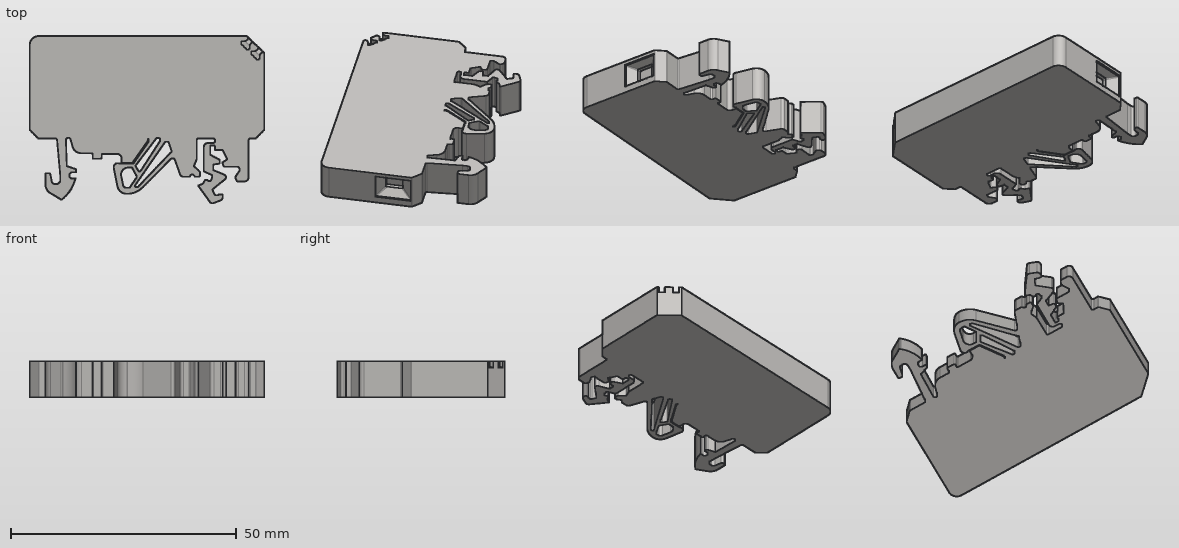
import cadquery as cq
import math


length = 52.0
thickness = 8.0
body_height = 22.7
side_round = 4.1 / 2
bottom_chamfer = 1.9
corner_softening = 0.15
top_chamfer_x = 3.95
top_chamfer_y = 3.8

hook_x = 6.05
rib_x = 14.0
loop_x = 18.4
middle_foot_x = 31.9
latch_x = 38.55
heel_right = 48.5

hook_depth = 13.55
hook_top = -7.65
hook_valley = -10.05
hook_outer = hook_x - 2.55
notch_bottom = -8.85
notch_top = -7.5
hook_back_round = 8.3
hook_slot_left = hook_x + 2.05

recess = -3.3
rib_width = 2.05
rib_depth = 1.2
step_recess = -3.45
step_x = 20.35

slit_roof = -5.4
slit_gap = 0.15
slit_floor = slit_roof - slit_gap
slit_bend = 22.8
slit_end = 26.2
loop_bottom = -12.25
eye_top = -6.45
eye_bottom = -10.85
leg_slot_bottom = -10.7
leg_slot_top = -0.75
spring_slot_top = 0.1

middle_foot_bottom = -8.5
middle_foot_right = middle_foot_x + 5.15
middle_foot_dent = 0.45

arm_root = -0.95
arm_right = latch_x + 1.5
arm_root_right = latch_x + 2.5
latch_bottom = -14.5
latch_lip = -12.4
heel_bottom = -9.5
heel_step = -6.3
heel_roof = -2.55

entry_depth = 3.2
funnel_start = 0.4
funnel_end = 2.3
entry_y = 2.2
entry_z = 1.55
entry_width = 7.95
entry_height = 5.55
inner_y = 4.35
inner_z = 3.0
inner_width = 3.9
inner_height = 3.35
entry_corner = 0.1
inner_corner = 0.25

marker_x = 47.85
marker_y = 20.7
marker_pitch = 3.1
marker_depth = 1.15
marker_length = 2.35
marker_width = 1.05
front_corner = 0.44
back_corner = 0.25
throat_width = 1.15
throat_distance = 0.45
mouth_width = 2.0
neck_length = 1.35
neck_fall = 0.4


def round_outline(corners):
    """Closed wire through corners (x, y, radius), each rounded by a tangent arc."""
    spans = []
    for i, (x, y, radius) in enumerate(corners):
        corner = cq.Vector(x, y)
        before = (cq.Vector(*corners[i - 1][:2]) - corner).normalized()
        after = (cq.Vector(*corners[(i + 1) % len(corners)][:2]) - corner).normalized()
        half_angle = before.getAngle(after) / 2
        reach = radius / math.tan(half_angle)
        bulge = radius / math.sin(half_angle) - radius
        middle = corner + (before + after).normalized() * bulge
        spans.append((corner + before * reach, middle, corner + after * reach, radius))
    outline = cq.Workplane("XY").moveTo(*spans[0][2].toTuple()[:2])
    for start, middle, end, radius in spans[1:] + spans[:1]:
        outline = outline.lineTo(*start.toTuple()[:2])
        if radius > 0:
            outline = outline.threePointArc(middle.toTuple()[:2], end.toTuple()[:2])
    return outline.close()


def hook_corners():
    """Hook that grips the left edge of the rail."""
    return [
        (hook_x, 0, 0.3),
        (hook_x + 0.75, hook_valley + 2.0, 0),
        (hook_x + 0.75, hook_valley, 0.8),
        (hook_x - 1.0, hook_valley, 0.6),
        (hook_x - 1.45, hook_top, 0.4),
        (hook_outer, hook_top, 0.25),
        (hook_outer, -11.45, 2.25),
        (hook_x + 1.05, -hook_depth, 0.2),
        (hook_x + 3.35, -11.7, hook_back_round),
        (hook_x + 4.15, notch_bottom, 0),
        (hook_x + 2.8, notch_bottom, 0.6),
        (hook_x + 2.8, notch_top, 0.6),
        (hook_x + 4.25, notch_top, 0.1),
        (hook_x + 4.25, notch_top + 0.75, 0.25),
        (hook_slot_left + 0.2, -6.1, 0),
        (hook_slot_left, 0.15, 0.45),
        (hook_slot_left + 0.9, 0.15, 0.4),
        (hook_slot_left + 1.85, recess, side_round),
    ]


def rib_corners():
    """Small rib below the recessed underside."""
    return [
        (rib_x, recess, 0.3),
        (rib_x, recess - rib_depth, 0.1),
        (rib_x + rib_width, recess - rib_depth, 0.3),
        (rib_x + rib_width, step_recess, 0.15),
        (step_x, step_recess, 0.95),
    ]


def slit_corners():
    """Thin slit between the body and the spring loop."""
    return [
        (step_x, slit_roof, 0),
        (slit_bend, slit_roof, 0),
        (slit_end, -0.5, 0),
        (slit_end, -0.1, 0),
        (slit_end + slit_gap, -0.1, 0),
        (slit_end + slit_gap, -0.6, 0),
        (slit_bend + slit_gap, slit_floor, 0),
    ]


def loop_corners():
    """Outside of the spring loop."""
    return [
        (loop_x + 1.65, slit_floor, 0.15),
        (loop_x + 1.3, slit_roof, 0.4),
        (loop_x, slit_roof - 0.1, 0.95),
        (loop_x + 1.35, loop_bottom, 2.2),
        (loop_x + 5.2, loop_bottom, 4.9),
    ]


def middle_foot_corners():
    """Foot resting on the rail between loop and latch."""
    dent_top = middle_foot_bottom + middle_foot_dent
    return [
        (middle_foot_x, -3.95, 0.5),
        (middle_foot_x + 1.6, middle_foot_bottom, 0.8),
        (middle_foot_x + 3.55, middle_foot_bottom, 0.25),
        (middle_foot_x + 3.9, dent_top, 0.2),
        (middle_foot_x + 4.35, dent_top, 0.2),
        (middle_foot_x + 4.8, middle_foot_bottom, 0.2),
        (middle_foot_x + 5.9, middle_foot_bottom, 0.35),
        (middle_foot_x + 5.9, -7.4, 0.25),
        (middle_foot_x + 4.5, -6.1, 0.15),
        (middle_foot_right, -4.65, 0),
        (middle_foot_right, 0, 0.35),
    ]


def latch_corners():
    """Flexible latch arm, with its left flank first."""
    return [
        (latch_x + 2.55, 0, 0.44),
        (latch_x + 2.55, arm_root, 0.44),
        (latch_x, arm_root, 1.05),
        (latch_x, -7.3, 0),
        (latch_x + 2.0, -8.15, 0.3),
        (latch_x + 1.6, -9.35, 0.3),
        (latch_x + 1.05, -9.35, 0.15),
        (latch_x + 0.85, -9.15, 0.15),
        (latch_x + 0.3, -9.15, 0.3),
        (latch_x - 0.15, -10.0, 0.1),
        (latch_x - 1.25, -10.4, 0.15),
        (latch_x + 1.7, latch_bottom, 0.7),
        (latch_x + 4.25, -13.5, 0.85),
        (latch_x + 4.25, latch_lip, 0.2),
        (latch_x + 3.4, latch_lip, 0.15),
        (latch_x + 3.2, latch_lip - 0.15, 0.15),
        (latch_x + 2.5, latch_lip - 0.15, 0.25),
        (latch_x + 2.0, -11.3, 0.1),
        (latch_x + 5.55, -8.35, 0.6),
        (latch_x + 2.2, -6.95, 0),
        (latch_x + 2.2, -5.75, 0),
        (latch_x + 3.6, -5.55, 0.25),
        (latch_x + 3.6, -4.7, 0.4),
        (arm_right, -3.6, 0),
        (arm_right, -1.55, 0.1),
        (arm_root_right, -1.55, 0.25),
    ]


def heel_corners():
    """Heel that limits the travel of the latch."""
    return [
        (arm_root_right, heel_roof, 0.2),
        (heel_right - 5.75, heel_roof, 0.35),
        (heel_right - 4.8, -4.6, 0.1),
        (heel_right - 5.9, -5.3, 0.15),
        (heel_right - 5.5, heel_step, 0.4),
        (heel_right - 2.25, heel_step, 0.2),
        (heel_right - 2.0, heel_step - 0.7, 0.15),
        (heel_right - 3.0, heel_bottom + 0.95, 0.25),
        (heel_right - 2.6, heel_bottom, 0.4),
        (heel_right, heel_bottom, 1.0),
        (heel_right, 0, 0.35),
    ]


def body_corners():
    """Plain sides of the body plate."""
    return [
        (length - bottom_chamfer, 0, corner_softening),
        (length, bottom_chamfer, corner_softening),
        (length, body_height - top_chamfer_y, 0),
        (length - top_chamfer_x, body_height, 0),
        (0, body_height, side_round),
        (0, bottom_chamfer, corner_softening),
        (bottom_chamfer, 0, corner_softening),
    ]


def loop_openings():
    """Eye of the spring loop and the two long slots between its legs."""
    eye = [
        (loop_x + 4.25, eye_top, 0.2),
        (loop_x + 5.35, -8.5, 0.2),
        (loop_x + 3.75, eye_bottom, 0.3),
        (loop_x + 2.45, eye_bottom, 0.6),
        (loop_x + 1.5, eye_top, 1.55),
    ]
    spring_slot = [
        (loop_x + 5.05, -6.05, 0.25),
        (loop_x + 5.95, -7.55, 0.3),
        (loop_x + 10.85, spring_slot_top, 0.4),
        (loop_x + 9.7, spring_slot_top, 0.25),
    ]
    leg_slot = [
        (loop_x + 4.75, leg_slot_bottom, 0.2),
        (loop_x + 5.55, leg_slot_bottom, 0.2),
        (loop_x + 13.05, -2.85, 0.3),
        (loop_x + 12.3, leg_slot_top, 0.25),
        (loop_x + 11.65, leg_slot_top, 0.25),
    ]
    openings = round_outline(eye).extrude(thickness)
    for corners in (spring_slot, leg_slot):
        openings = openings.union(round_outline(corners).extrude(thickness))
    return openings


def wire_entry():
    """Straight mouth on the left side, a funnel, and a short straight end."""

    def opening(depth, y, z, width, height, corner):
        sketch = cq.Sketch().rect(width, height).vertices().fillet(corner)
        centre = cq.Vector(y + width / 2, z + height / 2, depth)
        return sketch.moved(cq.Location(centre))

    outer = (entry_y, entry_z, entry_width, entry_height, entry_corner)
    inner = (inner_y, inner_z, inner_width, inner_height, inner_corner)
    mouth = cq.Workplane("YZ").placeSketch(opening(0, *outer)).extrude(funnel_start)
    funnel = (
        cq.Workplane("YZ")
        .placeSketch(opening(funnel_start, *outer), opening(funnel_end, *inner))
        .loft(ruled=True)
    )
    end = (
        cq.Workplane("YZ")
        .placeSketch(opening(funnel_end, *inner))
        .extrude(entry_depth - funnel_end)
    )
    return mouth.union(funnel).union(end)


def marker_slot(offset):
    """Slot behind the chamfer, open to it through a neck; local Y points out of the corner."""
    half_pocket = marker_width / 2
    half_length = marker_length / 2
    half_throat = throat_width / 2
    half_mouth = mouth_width / 2
    half_root = half_length - front_corner
    throat_y = half_pocket + throat_distance
    neck_end = half_pocket + neck_length
    pocket = (
        cq.Workplane("XY")
        .moveTo(half_root, half_pocket)
        .lineTo(half_length, half_pocket - front_corner)
        .lineTo(half_length, back_corner - half_pocket)
        .lineTo(half_length - back_corner, -half_pocket)
        .lineTo(back_corner - half_length, -half_pocket)
        .lineTo(-half_length, back_corner - half_pocket)
        .lineTo(-half_length, half_pocket - front_corner)
        .lineTo(-half_root, half_pocket)
        .close()
        .extrude(-marker_depth)
    )
    neck_plan = (
        cq.Workplane("XY")
        .moveTo(half_root, half_pocket)
        .threePointArc((half_throat, throat_y), (half_mouth, neck_end))
        .lineTo(-half_mouth, neck_end)
        .threePointArc((-half_throat, throat_y), (-half_root, half_pocket))
        .close()
        .extrude(-thickness)
    )
    neck_section = (
        cq.Workplane("YZ", origin=(-half_mouth, 0, 0))
        .moveTo(half_pocket, 0)
        .lineTo(half_pocket, -marker_depth)
        .lineTo(neck_end, -marker_depth - neck_fall)
        .lineTo(neck_end, 0)
        .close()
        .extrude(mouth_width)
    )
    slot = pocket.union(neck_plan.intersect(neck_section)).translate((offset, 0, 0))
    return slot.rotate((0, 0, 0), (0, 0, 1), -45).translate((marker_x, marker_y, thickness))


outline = (
    hook_corners()
    + rib_corners()
    + slit_corners()
    + loop_corners()
    + middle_foot_corners()
    + latch_corners()
    + heel_corners()
    + body_corners()
)
result = round_outline(outline).extrude(thickness)
result = result.cut(loop_openings())
result = result.cut(wire_entry())
for offset in (0, marker_pitch):
    result = result.cut(marker_slot(offset))